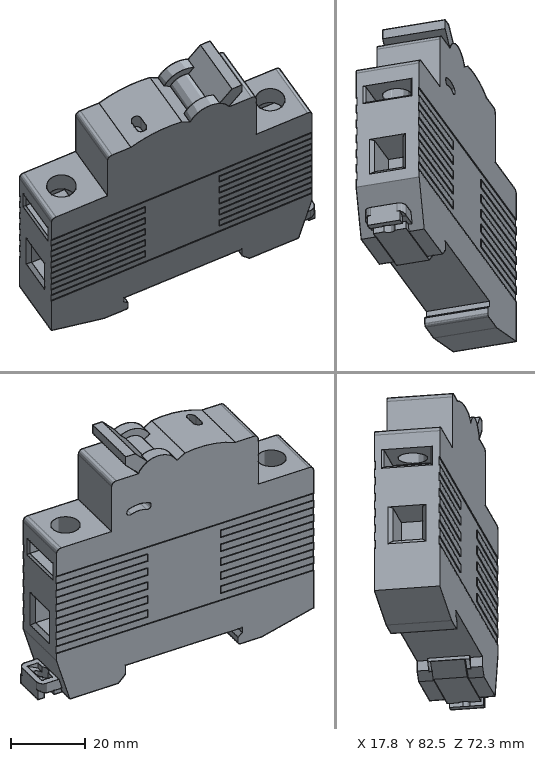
import cadquery as cq
import math


width = 17.8
body_length = 79.3
clip_tip_y = 82.5
total_height = 72.35
half_width = width / 2

foot_z = 0.25
shoulder_z = 49.8
deck_z = 65.7
tower_front_y = 17.1
tower_back_y = 62.3
corner_radius = 1.4

channel_z = 5.3
channel_front_y = 22.0
channel_back_y = 58.0
rail_lip = 1.3
rail_lip_bottom_z = 2.6
rail_lip_top_z = 3.7
foot_front_y = 16.1
foot_back_y = 75.15
front_toe_z = 4.2
back_heel_z = 13.95
back_foot_chamfer = 2.2
toe_radius = 0.75

swell_start_y = 24.2
swell_crest_y = 39.7
swell_crest_z = 67.5
swell_mid_y = 32.0
swell_mid_z = 67.65
swell_ramp_foot_y = 42.4
swell_ramp_foot_z = 65.8

wheel_y = 48.0
wheel_z = 62.6
wheel_radius = 6.8
drum_radius = 4.6
drum_half_length = 5.5
lever_back_y = 57.9
lever_top_width = 3.0
lever_edge_y = lever_back_y - lever_top_width
lever_side_height = 2.7
lever_side_gap = 0.1

band_bottom_z = 16.25
band_height = 24.75
band_recess = 0.25
rib_count = 5
front_rib_end_y = 28.6
back_rib_start_y = 51.15

screw_hole_diameter = 7.8
screw_hole_y = 7.9
terminal_depth = 12.4
label_half_width = 6.9
label_bottom_z = 38.85
label_top_z = 44.1
label_chamfer = 0.6
wire_half_width = 5.1
wire_bottom_z = 17.25
wire_top_z = 27.7
wire_chamfer = 1.1

window_x = 3.9
window_y = 29.4
window_length = 5.6
window_width = 2.7
window_bottom_z = 63.1
kidney_y = 53.9
kidney_z = 54.8
kidney_radius = 7.4
kidney_half_span = 2.7
kidney_width = 2.1
kidney_depth = 3.3

clip_half_width = 5.7
clip_plate_half_width = 4.6
clip_front_y = 56.4
clip_step_z = 2.15
clip_tip_thickness = 2.0
clip_tip_rise = 0.75
clip_tip_radius = 2.0
clip_plate_back_y = 77.55
hook_bottom_y = 58.6
hook_tip_y = 54.9
hook_tip_z = 3.7
hook_nose_y = 56.2
hook_nose_z = 4.3
clip_recess_half_width = 3.9
clip_recess_y = 80.9
clip_recess_depth = 1.65
clip_recess_length = 3.3
clip_hole_diameter = 4.0
clip_hole_y = 78.8


def extrude_across(outline, half):
    """Extrude a closed YZ outline symmetrically about X = 0."""
    return outline.extrude(half, both=True)


def yz_polygon(points, half):
    return extrude_across(cq.Workplane("YZ").polyline(points).close(), half)


def box_between(x_range, y_range, z_range):
    sizes = [high - low for low, high in (x_range, y_range, z_range)]
    corner = (x_range[0], y_range[0], z_range[0])
    return cq.Workplane("XY").box(*sizes, centered=False).translate(corner)


def mirrored_front_to_back(cutter):
    """Return the cutter together with its mirror image about the middle of the housing."""
    return cutter.union(cutter.mirror("XZ").translate((0, body_length, 0)))


def housing():
    outline = (
        cq.Workplane("YZ")
        .moveTo(0, front_toe_z)
        .lineTo(0, shoulder_z)
        .lineTo(tower_front_y, shoulder_z)
        .lineTo(tower_front_y, deck_z)
        .lineTo(swell_start_y, deck_z)
        .threePointArc((swell_mid_y, swell_mid_z), (swell_crest_y, swell_crest_z))
        .lineTo(swell_ramp_foot_y, swell_ramp_foot_z)
        .lineTo(wheel_y, deck_z)
        .lineTo(tower_back_y, deck_z)
        .lineTo(tower_back_y, shoulder_z)
        .lineTo(body_length, shoulder_z)
        .lineTo(body_length, back_heel_z)
        .lineTo(foot_back_y, foot_z)
        .lineTo(channel_back_y + back_foot_chamfer, foot_z)
        .lineTo(channel_back_y, foot_z + back_foot_chamfer)
        .lineTo(channel_back_y, channel_z)
        .lineTo(channel_front_y, channel_z)
        .lineTo(channel_front_y, rail_lip_top_z)
        .lineTo(channel_front_y + rail_lip, rail_lip_bottom_z)
        .lineTo(channel_front_y + rail_lip, foot_z)
        .lineTo(foot_front_y, foot_z)
        .close()
    )
    body = extrude_across(outline, half_width)
    rounded_corners = (
        (0, shoulder_z),
        (body_length, shoulder_z),
        (tower_front_y, deck_z),
        (tower_back_y, deck_z),
    )
    for y, z in rounded_corners:
        body = body.edges(cq.selectors.NearestToPointSelector((0, y, z))).fillet(corner_radius)
    toe = (0, channel_front_y + rail_lip, foot_z)
    return body.edges(cq.selectors.NearestToPointSelector(toe)).fillet(toe_radius)


def wheel_disc(radius, half):
    return extrude_across(cq.Workplane("YZ").center(wheel_y, wheel_z).circle(radius), half)


def drum_gap():
    """Space over the drum, between the two wheel discs, the cover ramp and the lever."""
    ramp_slope = (swell_crest_z - swell_ramp_foot_z) / (swell_ramp_foot_y - swell_crest_y)
    ramp_end_z = swell_crest_z - ramp_slope * (wheel_y - swell_crest_y)
    gap = yz_polygon(
        [
            (swell_crest_y, swell_crest_z),
            (wheel_y, ramp_end_z),
            (wheel_y, total_height - (lever_edge_y - wheel_y)),
            (lever_edge_y, total_height),
            (swell_crest_y, total_height),
        ],
        drum_half_length,
    )
    return gap.cut(wheel_disc(drum_radius, drum_half_length))


def lever():
    """Lever leaning back at 45 degrees, running down into the drum."""
    side_z = total_height - lever_side_height
    return yz_polygon(
        [
            (lever_edge_y, total_height),
            (lever_back_y, total_height),
            (lever_back_y, side_z),
            (lever_back_y - (side_z - wheel_z), wheel_z),
            (wheel_y, wheel_z),
            (wheel_y, total_height - (lever_edge_y - wheel_y)),
        ],
        half_width - lever_side_gap,
    )


def side_band_recess():
    """Shallow recess on both sides, leaving flush ribs at the front and the back."""
    strip = band_height / (2 * rib_count + 1)
    band = box_between(
        (half_width - band_recess, half_width),
        (0, body_length),
        (band_bottom_z, band_bottom_z + band_height),
    )
    for index in range(rib_count):
        rib_z = band_bottom_z + (2 * index + 1) * strip
        for y_range in ((0, front_rib_end_y), (back_rib_start_y, body_length)):
            band = band.cut(box_between((0, half_width), y_range, (rib_z, rib_z + strip)))
    return band.union(band.mirror("YZ"))


def terminal_pocket(outer_half, bottom_z, top_z, chamfer):
    """Pocket in the front face, chamfered along its two sides and its bottom edge."""
    inner_half = outer_half - chamfer
    inner_bottom_z = bottom_z + chamfer
    pocket = box_between((-inner_half, inner_half), (0, terminal_depth), (inner_bottom_z, top_z))
    half_height = top_z - bottom_z
    mouth = (
        cq.Workplane("XZ", origin=(0, 0, top_z))
        .rect(2 * outer_half, 2 * half_height)
        .workplane(offset=-chamfer)
        .rect(2 * inner_half, 2 * (half_height - chamfer))
        .loft()
    )
    below_ceiling = box_between((-outer_half, outer_half), (0, chamfer), (bottom_z, top_z))
    return pocket.union(mouth.intersect(below_ceiling))


def screw_hole():
    """Screw access opening down into the upper terminal pocket."""
    return (
        cq.Workplane("XY", origin=(0, screw_hole_y, label_top_z))
        .circle(screw_hole_diameter / 2)
        .extrude(shoulder_z - label_top_z)
    )


def cover_window():
    return (
        cq.Workplane("XY", origin=(window_x, window_y, window_bottom_z))
        .slot2D(window_length, window_width)
        .extrude(total_height - window_bottom_z)
    )


def kidney_window():
    """Curved slot in the -X side."""
    centre_z = kidney_z - kidney_radius
    half_angle = math.asin(kidney_half_span / kidney_radius)
    end_radius = kidney_width / 2
    outer = kidney_radius + end_radius
    inner = kidney_radius - end_radius

    def on_arc(radius, angle):
        return (kidney_y + radius * math.sin(angle), centre_z + radius * math.cos(angle))

    def end_cap(side):
        y, z = on_arc(kidney_radius, side * half_angle)
        return (y + side * end_radius * math.cos(half_angle), z - end_radius * math.sin(half_angle))

    return (
        cq.Workplane("YZ", origin=(-half_width, 0, 0))
        .moveTo(*on_arc(outer, -half_angle))
        .threePointArc(on_arc(outer, 0), on_arc(outer, half_angle))
        .threePointArc(end_cap(1), on_arc(inner, half_angle))
        .threePointArc(on_arc(inner, 0), on_arc(inner, -half_angle))
        .threePointArc(end_cap(-1), on_arc(outer, -half_angle))
        .close()
        .extrude(kidney_depth)
    )


def rail_clip():
    tip_inner_y = clip_tip_y - clip_tip_thickness
    tip_step_z = clip_step_z + clip_tip_rise
    slide = yz_polygon(
        [
            (clip_front_y, channel_z),
            (clip_tip_y, channel_z),
            (clip_tip_y, tip_step_z),
            (tip_inner_y, clip_step_z),
            (channel_back_y, clip_step_z),
            (clip_front_y, hook_nose_z),
        ],
        clip_half_width,
    )
    slide = slide.edges("|Z and >Y").fillet(clip_tip_radius)
    finger = yz_polygon(
        [(tip_inner_y, 0), (clip_tip_y, 0), (clip_tip_y, tip_step_z), (tip_inner_y, clip_step_z)],
        clip_plate_half_width,
    )
    plate = yz_polygon(
        [
            (clip_plate_back_y, 0),
            (hook_bottom_y, 0),
            (hook_tip_y, hook_tip_z),
            (hook_nose_y, hook_nose_z),
            (hook_nose_y + hook_nose_z - clip_step_z, clip_step_z),
            (clip_plate_back_y, clip_step_z),
        ],
        clip_plate_half_width,
    )
    recess = yz_polygon(
        [
            (clip_recess_y, channel_z),
            (clip_recess_y - clip_recess_length, channel_z - clip_recess_depth),
            (clip_recess_y - clip_recess_length, channel_z),
        ],
        clip_recess_half_width,
    )
    hole = (
        cq.Workplane("XY", origin=(0, clip_hole_y, 0))
        .circle(clip_hole_diameter / 2)
        .extrude(channel_z)
    )
    return slide.union(finger).union(plate).cut(recess).cut(hole)


label_pocket = terminal_pocket(label_half_width, label_bottom_z, label_top_z, label_chamfer)
wire_pocket = terminal_pocket(wire_half_width, wire_bottom_z, wire_top_z, wire_chamfer)
terminals = mirrored_front_to_back(label_pocket.union(screw_hole()).union(wire_pocket))

result = (
    housing()
    .union(wheel_disc(wheel_radius, half_width))
    .cut(drum_gap())
    .union(lever())
    .cut(side_band_recess())
    .cut(terminals)
    .cut(cover_window())
    .cut(kidney_window())
    .union(rail_clip())
)